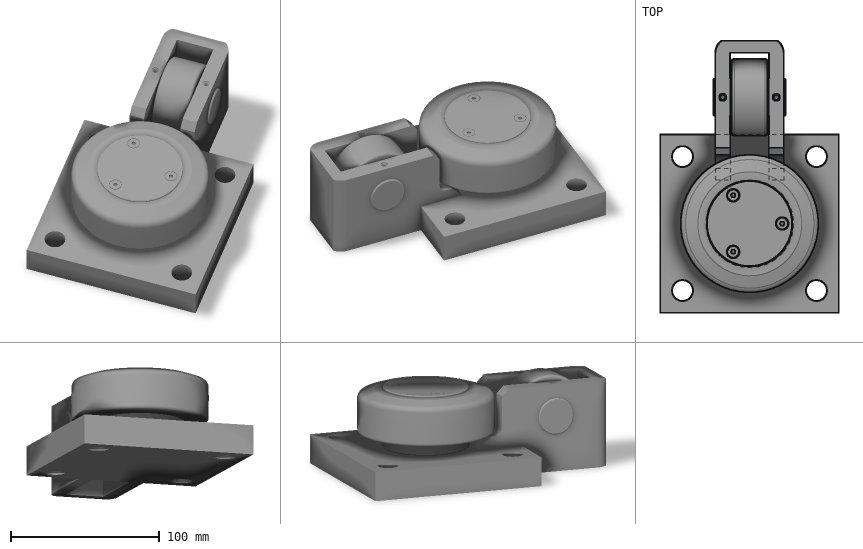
import cadquery as cq
import math


plate_size = 120.0
plate_thickness = 20.0
plate_hole_diameter = 13.9
plate_hole_spacing = 90.0

neck_diameter = 59.0
neck_chamfer = 0.5
roller_radius = 46.3
roller_crown = 0.2
roller_bottom_z = 30.0
roller_top_z = 60.0
roller_bottom_fillet = 2.0
roller_top_fillet = 4.2
roller_top_flat_radius = 35.0
roller_cone_angle = math.radians(18)

cover_diameter = 57.8
cover_height = 1.1
cover_chamfer = 0.4
cover_top_z = roller_top_z + cover_height
screw_count = 3
screw_circle_radius = 22.0
screw_seat_diameter = 8.6
screw_head_diameter = 7.9
screw_gap_depth = 0.5
screw_socket_corners = 3.1
screw_socket_depth = 1.1

fork_length = 183.0
fork_back_y = fork_length - plate_size / 2
fork_height = 60.0
fork_inner_width = 26.0
fork_arm_thickness = 10.0
fork_outer_width = fork_inner_width + 2 * fork_arm_thickness
fork_back_thickness = 8.2
pocket_back_y = fork_back_y - fork_back_thickness
arm_front_y = 46.1
arm_top_chamfer = 5.0
arm_step_z = 27.8
arm_step_fillet = 5.0

axle_y = 85.0
axle_z = 38.0
axle_diameter = 25.0
axle_overhang = 1.3
axle_chamfer = 0.7
side_roller_radius = 26.0
side_roller_width = 24.0
side_roller_fillet = 1.6

grub_diameter = 5.0
grub_recess = 0.5
grub_socket_diameter = 3.5
grub_socket_depth = 1.5


def make_plate():
    """Square plate with a through hole in each corner."""
    return (
        cq.Workplane("XY")
        .box(plate_size, plate_size, plate_thickness, centered=(True, True, False))
        .faces(">Z").workplane()
        .rect(plate_hole_spacing, plate_hole_spacing, forConstruction=True)
        .vertices().hole(plate_hole_diameter)
    )


def make_main_roller():
    """Crowned roller with a conical top shoulder, revolved about Z."""
    edge_radius = roller_radius - roller_crown
    bottom_edge_z = roller_bottom_z + roller_bottom_fillet
    bottom_flat_radius = edge_radius - roller_bottom_fillet

    fillet_centre_r = edge_radius - roller_top_fillet
    cone_start_r = fillet_centre_r + roller_top_fillet * math.sin(roller_cone_angle)
    cone_start_z = roller_top_z - (cone_start_r - roller_top_flat_radius) * math.tan(roller_cone_angle)
    fillet_centre_z = cone_start_z - roller_top_fillet * math.cos(roller_cone_angle)

    return (
        cq.Workplane("XZ")
        .moveTo(0, roller_bottom_z)
        .lineTo(bottom_flat_radius, roller_bottom_z)
        .radiusArc((edge_radius, bottom_edge_z), -roller_bottom_fillet)
        .threePointArc((roller_radius, (bottom_edge_z + fillet_centre_z) / 2), (edge_radius, fillet_centre_z))
        .radiusArc((cone_start_r, cone_start_z), -roller_top_fillet)
        .lineTo(roller_top_flat_radius, roller_top_z)
        .lineTo(0, roller_top_z)
        .close()
        .revolve(360, (0, 0, 0), (0, 1, 0))
    )


def make_cover():
    """Cover disc with a chamfered top edge."""
    return (
        cq.Workplane("XY", origin=(0, 0, roller_top_z))
        .circle(cover_diameter / 2).extrude(cover_height)
        .faces(">Z").edges().chamfer(cover_chamfer)
    )


def cut_cover_screws(body):
    """Cut the ring gap and the hexagon socket of each cover screw."""
    screws = (
        cq.Workplane("XY", origin=(0, 0, cover_top_z))
        .polarArray(screw_circle_radius, 0, 360, screw_count, rotate=False)
    )
    gaps = screws.circle(screw_seat_diameter / 2).circle(screw_head_diameter / 2).extrude(-screw_gap_depth)
    sockets = screws.polygon(6, screw_socket_corners).extrude(-screw_socket_depth)
    return body.cut(gaps).cut(sockets)


def make_roller_plate():
    """Plate, chamfered neck, main roller and cover as one solid."""
    neck = (
        cq.Workplane("XY", origin=(0, 0, plate_thickness))
        .circle(neck_diameter / 2).extrude(roller_bottom_z - plate_thickness)
        .edges().chamfer(neck_chamfer)
    )
    body = make_plate().union(neck).union(make_main_roller()).union(make_cover())
    return cut_cover_screws(body).solids()


def make_fork_frame():
    """U-shaped frame that rests on the plate and hangs down behind its edge."""
    plate_edge_y = plate_size / 2
    toe_y = neck_diameter / 2
    step_front_y = toe_y + arm_step_z - plate_thickness

    side_profile = (
        cq.Workplane("YZ")
        .moveTo(fork_back_y, 0)
        .lineTo(fork_back_y, fork_height)
        .lineTo(arm_front_y + arm_top_chamfer, fork_height)
        .lineTo(arm_front_y, fork_height - arm_top_chamfer)
        .lineTo(arm_front_y, arm_step_z + arm_step_fillet)
        .radiusArc((arm_front_y - arm_step_fillet, arm_step_z), arm_step_fillet)
        .lineTo(step_front_y, arm_step_z)
        .lineTo(toe_y, plate_thickness)
        .lineTo(plate_edge_y, plate_thickness)
        .lineTo(plate_edge_y, 0)
        .close()
        .extrude(fork_outer_width / 2, both=True)
    )

    outer_x = fork_outer_width / 2
    back_flat_x = fork_inner_width / 2 + math.sqrt(fork_arm_thickness**2 - fork_back_thickness**2)
    plan = (
        cq.Workplane("XY")
        .moveTo(-outer_x, 0)
        .lineTo(outer_x, 0)
        .lineTo(outer_x, pocket_back_y)
        .radiusArc((back_flat_x, fork_back_y), -fork_arm_thickness)
        .lineTo(-back_flat_x, fork_back_y)
        .radiusArc((-outer_x, pocket_back_y), -fork_arm_thickness)
        .close()
        .extrude(fork_height)
    )
    pocket = cq.Workplane("XY").box(
        fork_inner_width, pocket_back_y, fork_height, centered=(True, False, False)
    )
    return side_profile.intersect(plan).cut(pocket)


def make_side_roller():
    """Crowned roller with rounded rims, revolved about the axle."""
    half_width = side_roller_width / 2
    edge_x = half_width - side_roller_fillet
    edge_radius = side_roller_radius - roller_crown
    return (
        cq.Workplane("XY", origin=(0, axle_y, axle_z))
        .moveTo(-half_width, 0)
        .lineTo(-half_width, edge_radius - side_roller_fillet)
        .radiusArc((-edge_x, edge_radius), side_roller_fillet)
        .threePointArc((0, side_roller_radius), (edge_x, edge_radius))
        .radiusArc((half_width, edge_radius - side_roller_fillet), side_roller_fillet)
        .lineTo(half_width, 0)
        .close()
        .revolve(360, (0, 0, 0), (1, 0, 0))
    )


def make_axle():
    """Axle through both arms, chamfered at both ends."""
    half_length = fork_outer_width / 2 + axle_overhang
    return (
        cq.Workplane("YZ", origin=(0, axle_y, axle_z))
        .circle(axle_diameter / 2).extrude(half_length, both=True)
        .faces("<X or >X").edges().chamfer(axle_chamfer)
    )


def cut_grub_screws(body):
    """Cut the shallow round recess and the conical socket of the grub screw in each arm."""
    screw_x = (fork_inner_width + fork_arm_thickness) / 2
    for side in (-1, 1):
        top = cq.Workplane("XY", origin=(side * screw_x, axle_y, fork_height))
        recess = top.circle(grub_diameter / 2).extrude(-grub_recess)
        socket_cone = cq.Solid.makeCone(
            grub_socket_diameter / 2, 0, grub_socket_depth,
            cq.Vector(side * screw_x, axle_y, fork_height - grub_recess), cq.Vector(0, 0, -1),
        )
        body = body.cut(recess).cut(cq.Workplane(socket_cone))
    return body


def make_fork():
    """Fork frame, axle and side roller as one solid."""
    body = make_fork_frame().union(make_axle()).union(make_side_roller())
    return cut_grub_screws(body).solids()


roller_plate = make_roller_plate()
fork = make_fork()

result = cq.Compound.makeCompound([roller_plate.val(), fork.val()])